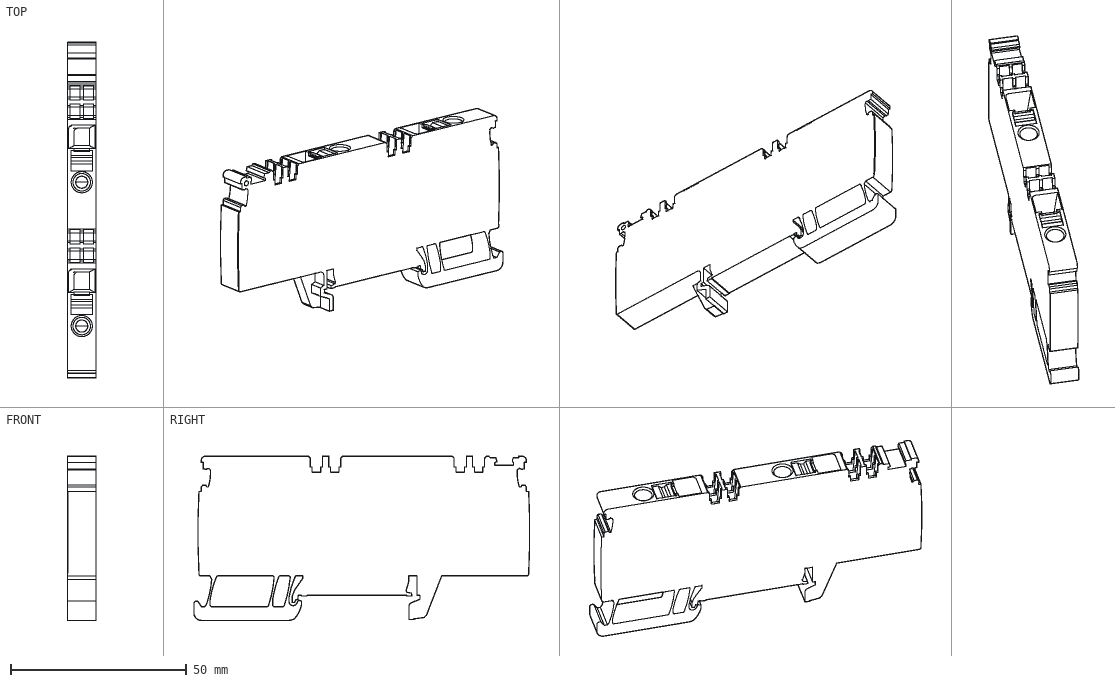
import cadquery as cq
import math

WIDTH = 8.1
HEIGHT = 46.8
TOP = HEIGHT / 2
BODY_BOTTOM = -10.7
RAIL_BOTTOM = -16.3
FOOT_BOTTOM = -TOP
BODY_CENTER_Y = 0.6
UNIT_PITCH = 41.0
UNIT_STARTS = (0, -UNIT_PITCH)
HALF_WIDTH = WIDTH / 2
CLEARANCE = 1.0

END_HALF_LENGTH = 47.3
END_EDGE_HALF_LENGTH = 47.0
END_TOP = 13.4
END_CHAMFER = 0.2
BOTTOM_CORNER = (0.5, 0.9)
QUARTER_MID = 1 - math.sqrt(0.5)

SLOT_MOUTHS = ((31.6, 35.0), (26.3, 29.8))
THROAT_INSET = 0.53
MOUTH_BOTTOM = 20.4
THROAT_BOTTOM = 18.9
POCKET_BOTTOM = 14.4
POCKET_OVERHANG = 0.4
POCKET_WIDTH = 2.9
WEB_WIDTH = 0.9
POCKET_CENTER_X = (WEB_WIDTH + POCKET_WIDTH) / 2
LEAD_CHAMFER = 0.6

WINDOW_Y = 20.8
WINDOW_MOUTH = (7.5, 6.7)
WINDOW_FLOOR = (4.4, 5.0)
WINDOW_BOTTOM = 13.4
WINDOW_CORNER_RADIUS = 1.15

PUSHER_WIDTH = 6.0
PUSHER_MIN_Y = 11.1
PUSHER_MAX_Y = 16.9
PUSHER_TOP = TOP - 0.6
PUSHER_BOTTOM = WINDOW_BOTTOM
GROOVE_BOTTOM = PUSHER_TOP - 0.8
GROOVE_MOUTH = (13.0, 15.4)
GROOVE_FLOOR = (13.9, 14.8)
NOTCH_WIDTH = 4.4
NOTCH_MIN_Y = 16.6
NOTCH_BOTTOM = PUSHER_TOP - 0.4

TEST_HOLE_Y = 7.9
TEST_HOLE_DIAMETER = 5.0
TEST_HOLE_MOUTH = 6.0
TEST_HOLE_BOTTOM = 17.2
CORE_DIAMETER = 3.45
CORE_BOTTOM = 13.4
CORE_STEP = 1.0

LOCATING_HOLE = (44.8, 21.5)
LOCATING_DIAMETER = 1.4
LOCATING_DEPTH = 2.9

RIB_SETBACK = 4.0

OPENING_RADIUS = 0.4


def side_plane(x=-HALF_WIDTH):
    """YZ sketch plane at the given X."""
    return cq.Workplane("YZ", origin=(x, 0, 0))


def side_prism(points):
    """Full-width prism from a closed (Y, Z) outline."""
    return side_plane().polyline(points).close().extrude(WIDTH)


def box(x_size, y_range, z_range):
    """Box centred on X, between two Y and two Z limits."""
    y0, y1 = y_range
    z0, z1 = z_range
    return cq.Workplane("XY", origin=(0, (y0 + y1) / 2, z0)).rect(x_size, y1 - y0).extrude(z1 - z0)


def half_body():
    """The +Y half of the body, with the undercut at its end."""
    corner_y, corner_z = BOTTOM_CORNER
    half = (
        side_plane()
        .moveTo(0, TOP)
        .lineTo(45.3, TOP)
        .threePointArc((46.0, 23.1), (46.4, 22.3))
        .lineTo(46.4, 21.65)
        .lineTo(45.8, 21.65)
        .lineTo(45.8, 19.8)
        .lineTo(45.0, 19.6)
        .lineTo(44.35, 19.9)
        .lineTo(43.8, 19.5)
        .threePointArc((43.9, 16.8), (44.35, 14.7))
        .lineTo(44.7, 14.7)
        .lineTo(45.0, 15.1)
        .lineTo(46.0, 15.1)
        .lineTo(46.4, 14.7)
        .lineTo(46.4, END_TOP)
        .lineTo(END_EDGE_HALF_LENGTH, END_TOP)
        .threePointArc(
            (END_HALF_LENGTH, (END_TOP + BODY_BOTTOM) / 2),
            (END_EDGE_HALF_LENGTH, BODY_BOTTOM + corner_z),
        )
        .threePointArc(
            (END_EDGE_HALF_LENGTH - QUARTER_MID * corner_y, BODY_BOTTOM + QUARTER_MID * corner_z),
            (END_EDGE_HALF_LENGTH - corner_y, BODY_BOTTOM),
        )
        .lineTo(0, BODY_BOTTOM)
        .close()
        .extrude(WIDTH)
    )
    wall_edge = cq.NearestToPointSelector((-HALF_WIDTH, END_HALF_LENGTH, (END_TOP + BODY_BOTTOM) / 2))
    return half.edges(wall_edge).chamfer(END_CHAMFER)


def body():
    half = half_body()
    return half.union(half.mirror("XZ")).translate((0, BODY_CENTER_Y, 0))


def marker_groove():
    """Undercut groove for a marker strip near the +Y end."""
    over = TOP + CLEARANCE
    return side_prism(
        [
            (44.7, over), (44.7, 23.0), (43.2, 23.0), (42.9, 22.4), (42.9, 21.9), (43.2, 21.6),
            (43.2, 20.9), (37.9, 20.9), (37.9, 21.6), (38.6, 21.8), (38.2, 23.0), (36.6, 23.0),
            (36.2, TOP), (36.2, over),
        ]
    )


def locating_hole():
    return side_plane().center(*LOCATING_HOLE).circle(LOCATING_DIAMETER / 2).extrude(LOCATING_DEPTH)


def rail_block():
    """Block above the mounting rail, with a hook lip at each end."""
    return side_prism(
        [
            (13.4, BODY_BOTTOM + CLEARANCE), (13.4, -12.4), (12.6, -14.9), (12.8, -15.3),
            (14.2, -15.6), (14.4, -16.5), (12.8, -16.5), (12.7, RAIL_BOTTOM),
            (-15.6, RAIL_BOTTOM), (-15.7, -16.5), (-17.05, -16.5), (-17.2, RAIL_BOTTOM),
            (-18.1, RAIL_BOTTOM), (-18.2, -17.4), (-18.8, -17.5), (-19.2, -18.3), (-19.8, -18.3),
            (-19.8, -16.5), (-19.3, -14.8), (-16.9, -11.4), (-16.9, BODY_BOTTOM + CLEARANCE),
        ]
    )


def clip_leg():
    """Springy leg that hooks the rail on the +Y side."""
    return (
        side_plane()
        .moveTo(18.1, BODY_BOTTOM)
        .threePointArc((17.2, -11.1), (16.9, -12.0))
        .lineTo(16.9, -14.9)
        .lineTo(18.1, -15.5)
        .lineTo(18.1, -18.0)
        .lineTo(14.8, -19.4)
        .lineTo(14.8, -23.2)
        .lineTo(13.4, -23.2)
        .lineTo(13.4, -19.35)
        .threePointArc((13.6, -18.8), (14.2, -18.3))
        .lineTo(16.6, -17.3)
        .lineTo(16.6, RAIL_BOTTOM)
        .lineTo(15.7, RAIL_BOTTOM)
        .lineTo(15.7, BODY_BOTTOM + CLEARANCE)
        .lineTo(18.1, BODY_BOTTOM + CLEARANCE)
        .close()
        .extrude(WIDTH)
    )


def leg_rib():
    """Wedge that stiffens the clip leg, set back from the -X face."""
    outline = [
        (22.8, BODY_BOTTOM), (18.5, -21.8), (17.7, -22.6), (14.8, -23.0), (14.4, -19.4), (17.2, -18.0),
        (17.2, -15.5), (16.3, -14.9), (16.3, BODY_BOTTOM),
    ]
    return side_plane(-HALF_WIDTH + RIB_SETBACK).polyline(outline).close().extrude(WIDTH - RIB_SETBACK)


def foot():
    """Frame below the -Y end: a base bar hung on three slanted webs."""
    bar = (
        side_plane()
        .moveTo(-45.7, FOOT_BOTTOM)
        .threePointArc((-47.2, -22.8), (-47.9, -21.3))
        .lineTo(-47.9, -18.7)
        .threePointArc((-47.4, -17.9), (-46.65, -18.0))
        .lineTo(-45.7, -19.4)
        .lineTo(-44.7, -19.4)
        .lineTo(-44.3, -18.7)
        .threePointArc((-43.2, -14.7), (-42.8, -11.7))
        .lineTo(-43.3, BODY_BOTTOM)
        .lineTo(-43.3, BODY_BOTTOM + CLEARANCE)
        .lineTo(-18.9, BODY_BOTTOM + CLEARANCE)
        .lineTo(-18.9, BODY_BOTTOM)
        .lineTo(-19.2, -11.4)
        .lineTo(-20.1, -14.1)
        .lineTo(-20.7, -16.7)
        .lineTo(-20.7, -18.2)
        .threePointArc((-19.6, -19.2), (-18.5, -18.4))
        .lineTo(-18.1, -17.5)
        .lineTo(-17.1, -17.9)
        .lineTo(-17.1, -19.0)
        .threePointArc((-17.7, -20.7), (-19.3, -23.0))
        .threePointArc((-19.9, -23.3), (-20.7, FOOT_BOTTOM))
        .close()
        .extrude(WIDTH)
    )
    small_opening = (
        side_plane()
        .moveTo(-20.4, BODY_BOTTOM)
        .lineTo(-23.6, BODY_BOTTOM)
        .threePointArc((-24.5, -13.6), (-25.4, -17.4))
        .lineTo(-25.4, -19.4)
        .lineTo(-22.2, -19.4)
        .threePointArc((-21.1, -15.2), (-20.4, BODY_BOTTOM))
        .close()
        .extrude(WIDTH)
    )
    large_opening = (
        side_plane()
        .moveTo(-25.0, BODY_BOTTOM)
        .lineTo(-41.3, BODY_BOTTOM)
        .threePointArc((-42.3, -13.6), (-43.2, -17.4))
        .lineTo(-43.2, -19.4)
        .lineTo(-26.7, -19.4)
        .threePointArc((-25.6, -15.2), (-25.0, BODY_BOTTOM))
        .close()
        .extrude(WIDTH)
    )
    for opening in (small_opening, large_opening):
        bar = bar.cut(opening.edges("|X").fillet(OPENING_RADIUS))
    return bar


def wire_slot(mouth):
    y0, y1 = mouth
    y_mid = (y0 + y1) / 2
    throat = (y0 + THROAT_INSET, y1 - THROAT_INSET)
    slot = box(WIDTH, mouth, (MOUTH_BOTTOM, TOP + CLEARANCE))
    slot = slot.union(box(WIDTH, throat, (THROAT_BOTTOM, TOP)))
    for x in (-POCKET_CENTER_X, POCKET_CENTER_X):
        pocket = (
            cq.Workplane("XY", origin=(x, y_mid, TOP))
            .rect(POCKET_WIDTH, y1 - y0 + 2 * POCKET_OVERHANG)
            .workplane(offset=POCKET_BOTTOM - TOP)
            .rect(POCKET_WIDTH, throat[1] - throat[0])
            .loft()
        )
        slot = slot.union(pocket)
    return slot


def slot_lead(y, outward):
    """Chamfer on the top edge at an outer side of the slot pair; outward is +1 or -1 along Y."""
    return side_prism([(y, TOP), (y + outward * LEAD_CHAMFER, TOP), (y, TOP - LEAD_CHAMFER)])


def window():
    """Funnel that narrows downwards, with its (-X, +Y) corner rounded."""
    funnel = (
        cq.Workplane("XY", origin=(0, WINDOW_Y, TOP))
        .rect(*WINDOW_MOUTH)
        .workplane(offset=WINDOW_BOTTOM - TOP)
        .rect(*WINDOW_FLOOR)
        .loft()
    )
    corner_x = -(WINDOW_MOUTH[0] + WINDOW_FLOOR[0]) / 4
    corner_y = WINDOW_Y + (WINDOW_MOUTH[1] + WINDOW_FLOOR[1]) / 4
    corner = cq.NearestToPointSelector((corner_x, corner_y, (TOP + WINDOW_BOTTOM) / 2))
    return funnel.edges(corner).fillet(WINDOW_CORNER_RADIUS)


def pusher_pocket():
    return box(PUSHER_WIDTH, (PUSHER_MIN_Y, PUSHER_MAX_Y), (PUSHER_BOTTOM, TOP + CLEARANCE))


def pusher_notch():
    """Shallow notch that joins the window to the pusher pocket."""
    return box(NOTCH_WIDTH, (NOTCH_MIN_Y, WINDOW_Y - WINDOW_FLOOR[1] / 2), (NOTCH_BOTTOM, TOP + CLEARANCE))


def test_hole():
    countersink = (TEST_HOLE_MOUTH - TEST_HOLE_DIAMETER) / 2
    profile = [
        (0, TOP), (TEST_HOLE_MOUTH / 2, TOP), (TEST_HOLE_DIAMETER / 2, TOP - countersink),
        (TEST_HOLE_DIAMETER / 2, TEST_HOLE_BOTTOM), (CORE_DIAMETER / 2, TEST_HOLE_BOTTOM),
        (CORE_DIAMETER / 2, CORE_BOTTOM), (0, CORE_BOTTOM),
    ]
    hole = cq.Workplane("XZ").polyline(profile).close().revolve(360, (0, 0), (0, 1))
    step = box(CORE_DIAMETER, (-CORE_DIAMETER, 0), (CORE_BOTTOM, CORE_BOTTOM + CORE_STEP))
    return hole.cut(step).translate((0, TEST_HOLE_Y, 0))


def unit_cutters():
    slots = [wire_slot(mouth) for mouth in SLOT_MOUTHS]
    leads = [slot_lead(SLOT_MOUTHS[0][1], 1), slot_lead(SLOT_MOUTHS[1][0], -1)]
    return slots + leads + [window(), pusher_pocket(), pusher_notch(), test_hole()]


def make_housing():
    housing = body().union(rail_block()).union(clip_leg()).union(leg_rib()).union(foot())
    housing = housing.cut(marker_groove()).cut(locating_hole())
    for start in UNIT_STARTS:
        for cutter in unit_cutters():
            housing = housing.cut(cutter.translate((0, start, 0)))
    return housing


def make_pusher(start):
    """Block that fills its pocket, with a screwdriver groove across its top."""
    block = box(PUSHER_WIDTH, (PUSHER_MIN_Y, PUSHER_MAX_Y), (PUSHER_BOTTOM, PUSHER_TOP))
    groove = side_prism(
        [
            (GROOVE_MOUTH[0], PUSHER_TOP), (GROOVE_FLOOR[0], GROOVE_BOTTOM),
            (GROOVE_FLOOR[1], GROOVE_BOTTOM), (GROOVE_MOUTH[1], PUSHER_TOP),
        ]
    )
    return block.cut(groove).cut(pusher_notch()).translate((0, start, 0))


housing = make_housing()
pushers = [make_pusher(start) for start in UNIT_STARTS]

result = cq.Compound.makeCompound([housing.val(), *[pusher.val() for pusher in pushers]])